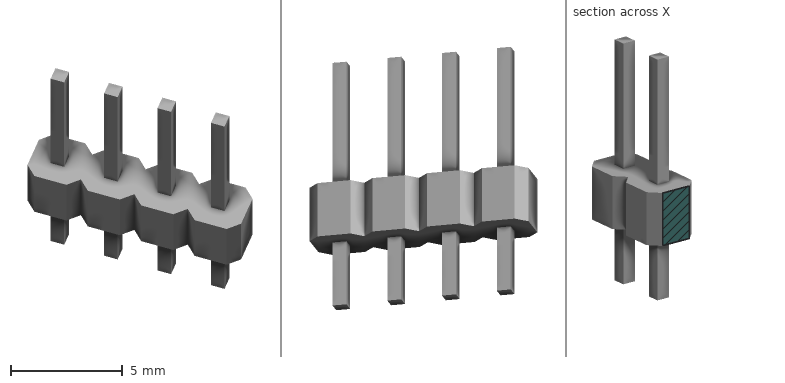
import cadquery as cq

pin_count = 4
pitch = 2.54
corner_chamfer = 0.51
pin_width = 0.65
pin_length = 11.54
tail_length = 3.0

first_pin_x = -(pin_count - 1) * pitch / 2
pin_positions = [first_pin_x + index * pitch for index in range(pin_count)]


def make_housing(x):
    """Insulating block with chamfered upright edges and a square pin hole."""
    block = (
        cq.Workplane("XY")
        .box(pitch, pitch, pitch, centered=(True, True, False))
        .edges("|Z")
        .chamfer(corner_chamfer)
    )
    pin_hole = cq.Workplane("XY").box(pin_width, pin_width, pitch, centered=(True, True, False))
    return block.cut(pin_hole).translate((x, 0, 0))


def make_pin(x):
    """Straight square pin running through its housing."""
    pin = cq.Workplane("XY").box(pin_width, pin_width, pin_length, centered=(True, True, False))
    return pin.translate((x, 0, -tail_length))


housings = [make_housing(x) for x in pin_positions]
pins = [make_pin(x) for x in pin_positions]

result = cq.Compound.makeCompound([body.val() for body in housings + pins])